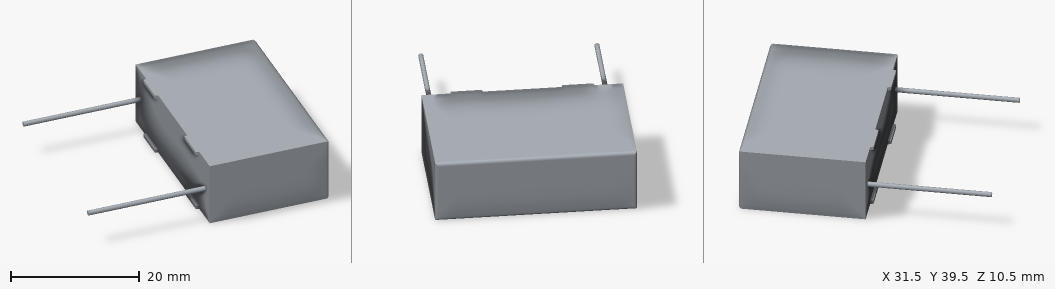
import cadquery as cq

case_width = 31.5
case_depth = 20.0
case_height = 10.5
back_round = 0.5

foot_base_width = 5.15
foot_tip_width = 4.85
foot_length = 0.5
foot_thickness = 0.6
foot_pitch = 17.38

lead_diameter = 0.8
overall_length = 39.5
lead_length = overall_length - case_depth
lead_pitch = 27.5


def make_foot(x_center, z_bottom):
    """Trapezoid foot, slightly narrower at its tip, standing on the lead face."""
    half_base = foot_base_width / 2
    half_tip = foot_tip_width / 2
    return (
        cq.Workplane("XY", origin=(x_center, 0, z_bottom))
        .moveTo(-half_base, 0)
        .lineTo(-half_tip, -foot_length)
        .lineTo(half_tip, -foot_length)
        .lineTo(half_base, 0)
        .close()
        .extrude(foot_thickness)
    )


def make_case():
    """Solid case with a rounded back rim and four feet on the lead face."""
    body = cq.Workplane("XY").box(case_width, case_depth, case_height, centered=(True, False, True))
    body = body.faces(">Y").edges().fillet(back_round)
    for x_center in (-foot_pitch / 2, foot_pitch / 2):
        for z_bottom in (-case_height / 2, case_height / 2 - foot_thickness):
            body = body.union(make_foot(x_center, z_bottom))
    return body


def make_lead(x_center):
    """Round wire lead that starts on the lead face and runs straight out along -Y."""
    return cq.Workplane("XZ", origin=(x_center, 0, 0)).circle(lead_diameter / 2).extrude(lead_length)


case = make_case()
leads = [make_lead(x_center) for x_center in (-lead_pitch / 2, lead_pitch / 2)]

result = cq.Compound.makeCompound([case.val(), *[lead.val() for lead in leads]])